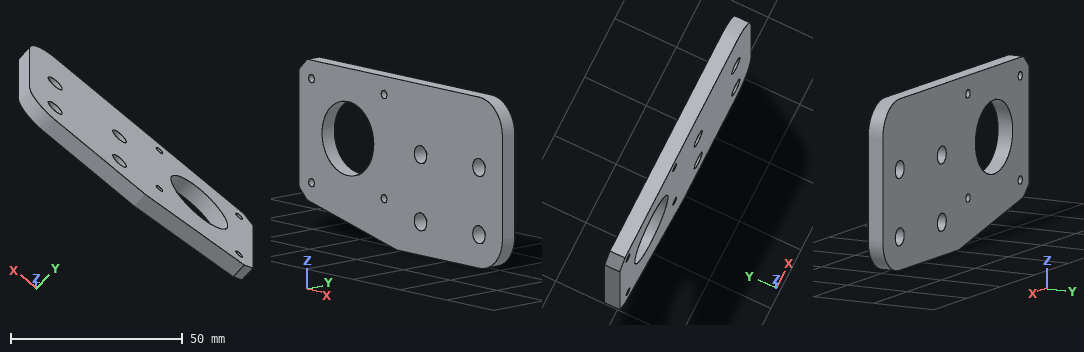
import cadquery as cq

length = 87.0
thickness = 5.0
height = 51.0

motor_side = 41.9
motor_chamfer = 3.5
bore_diameter = 22.0
screw_diameter = 2.4
screw_spacing = 31.0
motor_x = motor_side / 2
motor_z = height - motor_side / 2
motor_bottom = height - motor_side

corner_radius = 10.0
mount_diameter = 5.3
mount_spacing_x = 25.0
mount_x = length - corner_radius - mount_spacing_x / 2
mount_z = (corner_radius + motor_z) / 2
mount_spacing_z = motor_z - corner_radius


def make_plate():
    """Plate with chamfered left corners, rounded right corners and a sloped lower edge."""
    outline = [
        (0, motor_bottom + motor_chamfer),
        (motor_chamfer, motor_bottom),
        (motor_side, 0),
        (length, 0),
        (length, height),
        (motor_chamfer, height),
        (0, height - motor_chamfer),
    ]
    plate = cq.Workplane("XZ").polyline(outline).close().extrude(-thickness)
    return plate.edges("|Y and >X").fillet(corner_radius)


def make_hole_tools(diameter, center_x, center_z, spacing_x, spacing_z):
    """Four through-hole cylinders at the corners of a rectangle."""
    return (
        cq.Workplane("XZ")
        .center(center_x, center_z)
        .rect(spacing_x, spacing_z, forConstruction=True)
        .vertices()
        .circle(diameter / 2)
        .extrude(-thickness)
    )


bore = cq.Workplane("XZ").center(motor_x, motor_z).circle(bore_diameter / 2).extrude(-thickness)
motor_screws = make_hole_tools(screw_diameter, motor_x, motor_z, screw_spacing, screw_spacing)
mount_holes = make_hole_tools(mount_diameter, mount_x, mount_z, mount_spacing_x, mount_spacing_z)

result = make_plate().cut(bore).cut(motor_screws).cut(mount_holes)